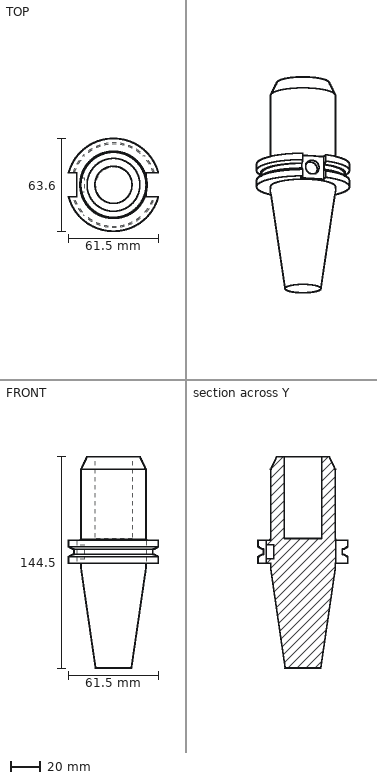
import cadquery as cq

total_height = 144.5
taper_height = 68.2
collar_height = 3.3
flange_thickness = 15.9
tip_chamfer_height = 8.8
flange_bottom = taper_height + collar_height
flange_top = flange_bottom + flange_thickness
flange_middle = flange_bottom + flange_thickness / 2

gauge_radius = 22.2
taper_ratio = 7 / 24
small_end_radius = gauge_radius - taper_height * taper_ratio / 2

nose_radius = 22.2
nose_tip_radius = 18.0
root_fillet = 0.7
bore_radius = 12.7
bore_depth = 55.9

flange_radius = 31.8
groove_radius = 28.2
groove_flank_foot_radius = 29.0
groove_mouth_width = 7.0
groove_floor_width = 3.5

slot_width = 16.2
slot_floor_left = -25.1
slot_floor_right = 22.5
slot_hole_radius = 4.8
slot_hole_depth = 5.0


def make_body():
    """Taper, collar, grooved flange and nose as one revolved half profile."""
    outline = [
        (0, 0),
        (small_end_radius, 0),
        (gauge_radius, taper_height),
        (gauge_radius, flange_bottom),
        (flange_radius, flange_bottom),
        (flange_radius, flange_middle - groove_mouth_width / 2),
        (groove_flank_foot_radius, flange_middle - groove_floor_width / 2),
        (groove_radius, flange_middle - groove_floor_width / 2),
        (groove_radius, flange_middle + groove_floor_width / 2),
        (groove_flank_foot_radius, flange_middle + groove_floor_width / 2),
        (flange_radius, flange_middle + groove_mouth_width / 2),
        (flange_radius, flange_top),
        (nose_radius + root_fillet, flange_top),
    ]
    return (
        cq.Workplane("XZ")
        .polyline(outline)
        .radiusArc((nose_radius, flange_top + root_fillet), root_fillet)
        .lineTo(nose_radius, total_height - tip_chamfer_height)
        .lineTo(nose_tip_radius, total_height)
        .lineTo(0, total_height)
        .close()
        .revolve(360, (0, 0, 0), (0, 1, 0))
    )


def make_bore():
    """Blind tool bore, open at the nose tip."""
    return (
        cq.Workplane("XY", origin=(0, 0, total_height - bore_depth))
        .circle(bore_radius)
        .extrude(bore_depth)
    )


def make_slot(floor_x):
    """Drive slot from the floor out past the rim, on the floor's side of the axis."""
    rim_x = flange_radius if floor_x > 0 else -flange_radius
    return cq.Workplane("XY").box(abs(rim_x - floor_x), slot_width, flange_thickness).translate(
        ((rim_x + floor_x) / 2, 0, flange_middle)
    )


def make_slot_hole():
    """Blind round hole in the floor of the left slot."""
    return (
        cq.Workplane("YZ", origin=(slot_floor_left, 0, flange_middle))
        .circle(slot_hole_radius)
        .extrude(slot_hole_depth)
    )


result = (
    make_body()
    .cut(make_bore())
    .cut(make_slot(slot_floor_left))
    .cut(make_slot(slot_floor_right))
    .cut(make_slot_hole())
)